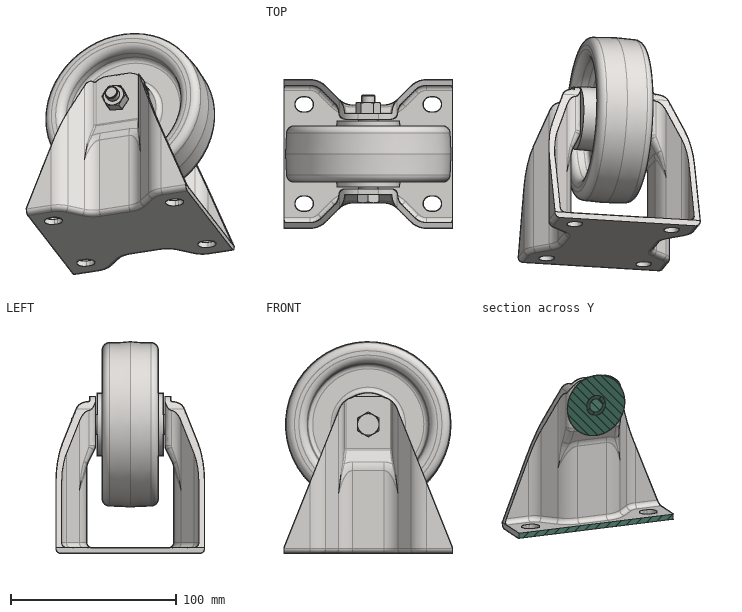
import cadquery as cq
import math


SHEET = 3.5
BASE_LENGTH = 102.0
BASE_WIDTH = 90.0
FOLD_RADIUS = 3.0
AXLE_HEIGHT = 78.0
CHEEK_TOP = 95.0
CHEEK_TOP_RADIUS = 12.0
CHEEK_TAPER = 0.4
FLANGE_END_X = 35.3
DIAGONAL_END_X = 17.9
FLANGE_BEND_RADIUS = 13.5
WAIST_BEND_RADIUS = 12.0
NECK_BEND_RADIUS = 12.2
PAD_INNER_Y = 21.0
PAD_OUTER_Y = PAD_INNER_Y + SHEET
PAD_INNER_CORNER = 4.0
PAD_OUTER_CORNER = 0.9
PAD_BOTTOM = 63.0
RAMP_ANGLE = 27.0
RAMP_TOP_RADIUS = 2.0
RAMP_FOOT_RADIUS = 11.5
SLOT_LENGTH = 11.0
SLOT_WIDTH = 9.0
SLOT_SPACING_X = 77.5
SLOT_SPACING_Y = 60.0

CROWN_RADIUS = 50.06
SHOULDER_RADIUS = 49.5
SHOULDER_Y = 12.6
WHEEL_HALF_WIDTH = 17.0
SIDE_OUTER_RADIUS = 44.6
SIDE_INNER_RADIUS = 41.9
RIM_MOUTH_RADIUS = 36.9
RIM_FLOOR_RADIUS = 36.4
RIM_ROUND = SIDE_INNER_RADIUS - RIM_MOUTH_RADIUS
WEB_HALF_THICKNESS = 5.0
WEB_FILLET = 2.8
HUB_RADIUS = 19.0
HUB_FOOT_RADIUS = 19.3
HUB_HALF_LENGTH = 20.0
HUB_FILLET = 3.2

SLEEVE_RADIUS = 6.0
BOLT_RADIUS = 4.0
BOLT_END_Y = 35.6
BOLT_END_CHAMFER = 0.5
HEX_FLATS = 13.0
HEX_CHAMFER_ANGLE = 30.0
HEAD_HEIGHT = 5.0
HEAD_TURN = 30.0
NUT_HEIGHT = 6.8
NUT_TURN = 5.0

HALF_LENGTH = BASE_LENGTH / 2
HALF_WIDTH = BASE_WIDTH / 2


def polar(center, radius, degrees):
    angle = math.radians(degrees)
    return (center[0] + radius * math.cos(angle), center[1] + radius * math.sin(angle))


def other_side(point):
    return (-point[0], point[1])


flange_center = (-FLANGE_END_X, HALF_WIDTH - FLANGE_BEND_RADIUS)
diagonal_start = polar(flange_center, FLANGE_BEND_RADIUS, 45)
diagonal_run = -DIAGONAL_END_X - diagonal_start[0]
diagonal_end = (-DIAGONAL_END_X, diagonal_start[1] - diagonal_run)
waist_center = polar(diagonal_end, WAIST_BEND_RADIUS, 45)
neck_center = polar(diagonal_end, NECK_BEND_RADIUS, 225)


def start_plan(depth):
    """Left end of the wall, up to the flange bend and the diagonal."""
    radius = FLANGE_BEND_RADIUS - depth
    return (
        cq.Workplane("XY").moveTo(-HALF_LENGTH, 0)
        .lineTo(-HALF_LENGTH, HALF_WIDTH - depth)
        .lineTo(-FLANGE_END_X, HALF_WIDTH - depth)
        .threePointArc(polar(flange_center, radius, 67.5), polar(flange_center, radius, 45))
    )


def finish_plan(plan, depth):
    """Right-hand diagonal, flange bend and flange, then back along the middle plane."""
    radius = FLANGE_BEND_RADIUS - depth
    bend_start = other_side(polar(flange_center, radius, 45))
    bend_middle = other_side(polar(flange_center, radius, 67.5))
    return (
        plan.lineTo(*bend_start)
        .threePointArc(bend_middle, (FLANGE_END_X, HALF_WIDTH - depth))
        .lineTo(HALF_LENGTH, HALF_WIDTH - depth)
        .lineTo(HALF_LENGTH, 0)
        .close()
    )


def waist_form(depth):
    """Space inside the wall as folded below the pad, with the ramp cut away above the waist."""
    radius = WAIST_BEND_RADIUS + depth
    start = polar(waist_center, radius, 225)
    middle = polar(waist_center, radius, 247.5)
    end = polar(waist_center, radius, 270)
    plan = (
        start_plan(depth).lineTo(*start).threePointArc(middle, end)
        .lineTo(*other_side(end)).threePointArc(other_side(middle), other_side(start))
    )
    form = finish_plan(plan, depth).extrude(CHEEK_TOP)

    pad_y = PAD_OUTER_Y - depth
    ramp_top = PAD_BOTTOM + depth * math.tan(math.radians(RAMP_ANGLE / 2))
    ramp_drop = (HALF_WIDTH - pad_y) / math.tan(math.radians(RAMP_ANGLE))
    above_ramp = (
        cq.Workplane("YZ").moveTo(pad_y, CHEEK_TOP).lineTo(pad_y, ramp_top)
        .lineTo(HALF_WIDTH, ramp_top - ramp_drop).lineTo(HALF_WIDTH, CHEEK_TOP).close()
        .extrude(HALF_LENGTH, both=True)
    )
    form = form.cut(above_ramp)

    foot_zone = cq.selectors.BoxSelector(
        (-HALF_LENGTH + SHEET, pad_y + SHEET / 2, SHEET),
        (HALF_LENGTH - SHEET, BASE_WIDTH, PAD_BOTTOM),
    )
    form = form.edges(foot_zone).edges("not(|Z)").fillet(RAMP_FOOT_RADIUS - depth)
    pad_edge = cq.selectors.NearestToPointSelector((0, pad_y, ramp_top))
    return form.edges(pad_edge).fillet(RAMP_TOP_RADIUS + depth)


def neck_form(depth):
    """Space inside the wall as folded at the height of the pad, over the full height."""
    radius = NECK_BEND_RADIUS - depth
    start = polar(neck_center, radius, 45)
    middle = polar(neck_center, radius, 22.5)
    end = polar(neck_center, radius, 0)
    pad_end = (end[0], PAD_OUTER_Y - depth)
    plan = (
        start_plan(depth).lineTo(*start).threePointArc(middle, end).lineTo(*pad_end)
        .lineTo(*other_side(pad_end)).lineTo(*other_side(end))
        .threePointArc(other_side(middle), other_side(start))
    )
    return finish_plan(plan, depth).extrude(CHEEK_TOP)


def folded_form(depth, corner):
    """Space bounded by the cheeks at a depth below their outer faces, rounded along the base."""
    half = neck_form(depth).union(waist_form(depth))

    corner_x = neck_center[0] + NECK_BEND_RADIUS - depth
    corner_z = (PAD_BOTTOM + CHEEK_TOP) / 2
    inside_y = PAD_INNER_Y - depth
    for x in (corner_x, -corner_x):
        corner_edge = cq.selectors.NearestToPointSelector((x, inside_y, corner_z))
        half = half.edges(corner_edge).fillet(corner)

    above_base = cq.Workplane("XY", origin=(0, 0, depth)).box(
        BASE_LENGTH, BASE_WIDTH, CHEEK_TOP, centered=(True, True, False)
    )
    form = half.union(half.mirror("XZ")).intersect(above_base)
    return form.faces("<Z").edges("not(|Y)").fillet(FOLD_RADIUS)


def cylinder(radius, start_y, end_y):
    """Round rod on the wheel axis."""
    return cq.Workplane("XZ", origin=(0, start_y, AXLE_HEIGHT)).circle(radius).extrude(start_y - end_y)


def side_outline():
    """Tapered cheek shape as seen along the axle, extruded across the bracket."""
    top_x = HALF_LENGTH - CHEEK_TAPER * (CHEEK_TOP - SHEET)
    return (
        cq.Workplane("XZ").moveTo(-HALF_LENGTH, 0).lineTo(HALF_LENGTH, 0).lineTo(HALF_LENGTH, SHEET)
        .lineTo(top_x, CHEEK_TOP).lineTo(-top_x, CHEEK_TOP).lineTo(-HALF_LENGTH, SHEET).close()
        .extrude(BASE_WIDTH, both=True)
        .edges("|Y and >Z").fillet(CHEEK_TOP_RADIUS)
    )


def make_bracket():
    sheet = folded_form(0, PAD_OUTER_CORNER).cut(folded_form(SHEET, PAD_INNER_CORNER))
    slots = (
        cq.Workplane("XY").rarray(SLOT_SPACING_X, SLOT_SPACING_Y, 2, 2)
        .slot2D(SLOT_LENGTH, SLOT_WIDTH).extrude(SHEET)
    )
    axle_hole = cylinder(BOLT_RADIUS, -HALF_WIDTH, HALF_WIDTH)
    return sheet.intersect(side_outline()).cut(slots).cut(axle_hole)


def make_wheel():
    """Half section beside the middle plane, turned about the axle and mirrored."""
    rim_round_y = WHEEL_HALF_WIDTH - RIM_ROUND
    half = (
        cq.Workplane("XY").moveTo(SLEEVE_RADIUS, 0)
        .lineTo(CROWN_RADIUS, 0)
        .lineTo(SHOULDER_RADIUS, SHOULDER_Y)
        .tangentArcPoint((SIDE_OUTER_RADIUS, WHEEL_HALF_WIDTH), relative=False)
        .lineTo(SIDE_INNER_RADIUS, WHEEL_HALF_WIDTH)
        .radiusArc((RIM_MOUTH_RADIUS, rim_round_y), -RIM_ROUND)
        .lineTo(RIM_FLOOR_RADIUS, WEB_HALF_THICKNESS + WEB_FILLET)
        .radiusArc((RIM_FLOOR_RADIUS - WEB_FILLET, WEB_HALF_THICKNESS), WEB_FILLET)
        .lineTo(HUB_FOOT_RADIUS + HUB_FILLET, WEB_HALF_THICKNESS)
        .radiusArc((HUB_FOOT_RADIUS, WEB_HALF_THICKNESS + HUB_FILLET), HUB_FILLET)
        .lineTo(HUB_RADIUS, HUB_HALF_LENGTH)
        .lineTo(SLEEVE_RADIUS, HUB_HALF_LENGTH)
        .close()
        .revolve(360, (0, 0, 0), (0, 1, 0))
        .translate((0, 0, AXLE_HEIGHT))
    )
    return half.union(half.mirror("XZ"))


def make_sleeve():
    """Spacer tube clamped between the two pads, carrying the wheel."""
    bore = cylinder(BOLT_RADIUS, -PAD_INNER_Y, PAD_INNER_Y)
    return cylinder(SLEEVE_RADIUS, -PAD_INNER_Y, PAD_INNER_Y).cut(bore)


def hexagon(start_y, length, turn):
    """Hexagonal block along +Y whose corners are chamfered by a cone at its far end."""
    corner_radius = HEX_FLATS / 2 / math.cos(math.radians(30))
    corners = [polar((0, 0), corner_radius, turn + 60 * i) for i in range(6)]
    block = (
        cq.Workplane("XZ", origin=(0, start_y, AXLE_HEIGHT)).polyline(corners).close().extrude(-length)
    )
    chamfer_width = corner_radius - HEX_FLATS / 2
    chamfer_height = chamfer_width * math.tan(math.radians(HEX_CHAMFER_ANGLE))
    envelope = cylinder(corner_radius, start_y, start_y + length)
    return block.intersect(envelope.faces(">Y").chamfer(chamfer_height, chamfer_width))


def make_bolt():
    head = hexagon(PAD_OUTER_Y, HEAD_HEIGHT, HEAD_TURN).mirror("XZ")
    shank = cylinder(BOLT_RADIUS, -PAD_OUTER_Y, BOLT_END_Y).faces(">Y").chamfer(BOLT_END_CHAMFER)
    return head.union(shank)


def make_nut():
    bore = cylinder(BOLT_RADIUS, PAD_OUTER_Y, PAD_OUTER_Y + NUT_HEIGHT)
    return hexagon(PAD_OUTER_Y, NUT_HEIGHT, NUT_TURN).cut(bore)


bracket = make_bracket()
wheel = make_wheel()
sleeve = make_sleeve()
bolt = make_bolt()
nut = make_nut()

result = cq.Compound.makeCompound([bracket.val(), wheel.val(), sleeve.val(), bolt.val(), nut.val()])